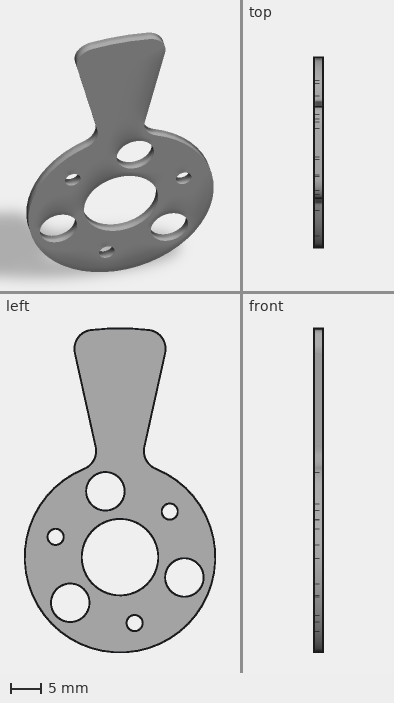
import cadquery as cq
import math

thickness = 1.55
disc_radius = 15.85
overall_length = 53.95
bore_diameter = 12.7
large_hole_diameter = 6.35
small_hole_diameter = 2.65
hole_circle_radius = 11.2
holes_per_set = 3
handle_half_angle = 12.5
corner_radius = 3.2
neck_radius = 3.2

tip_radius = overall_length - disc_radius
hole_pitch = 360 / holes_per_set
large_hole_start = 90 - handle_half_angle
small_hole_start = large_hole_start + hole_pitch / 2


def make_handle():
    """Sector from the disc centre out to the rounded tip."""
    half_angle = math.radians(handle_half_angle)
    tip_y = tip_radius * math.sin(half_angle)
    tip_z = tip_radius * math.cos(half_angle)
    handle = (
        cq.Workplane("YZ")
        .moveTo(0, 0)
        .lineTo(tip_y, tip_z)
        .threePointArc((0, tip_radius), (-tip_y, tip_z))
        .close()
        .extrude(thickness)
    )
    return handle.edges("|X").edges(">Y or <Y").fillet(corner_radius)


def make_blank():
    """Disc joined to the handle with a filleted neck."""
    disc = cq.Workplane("YZ").circle(disc_radius).extrude(thickness)
    blank = disc.union(make_handle())
    half_angle = math.radians(handle_half_angle)
    neck_y = disc_radius * math.sin(half_angle)
    neck_z = disc_radius * math.cos(half_angle)
    for side in (-1, 1):
        neck_edge = cq.selectors.NearestToPointSelector((thickness / 2, side * neck_y, neck_z))
        blank = blank.edges("|X").edges(neck_edge).fillet(neck_radius)
    return blank


def cut_hole_set(body, diameter, start_angle):
    """Through holes evenly spaced on the hole circle."""
    holes = (
        cq.Workplane("YZ")
        .polarArray(hole_circle_radius, start_angle, 360, holes_per_set)
        .circle(diameter / 2)
        .extrude(thickness)
    )
    return body.cut(holes)


bore = cq.Workplane("YZ").circle(bore_diameter / 2).extrude(thickness)
result = make_blank().cut(bore)
result = cut_hole_set(result, large_hole_diameter, large_hole_start)
result = cut_hole_set(result, small_hole_diameter, small_hole_start)